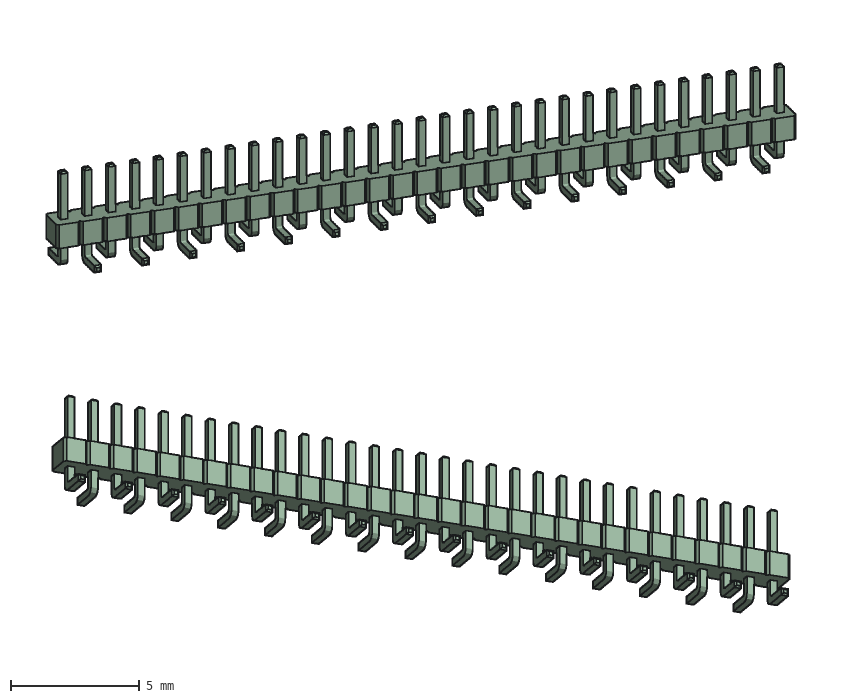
import cadquery as cq

pin_count = 31
pitch = 1.0
body_width = 1.27
body_height = 1.0
body_bottom = 1.0
body_chamfer = 0.1
pin_size = 0.3
pin_tip_chamfer = 0.075
foot_reach = 1.25
overall_height = 4.0
bend_inner_radius = 0.1

row_length = pin_count * pitch
half_pin = pin_size / 2
bend_outer_radius = pin_size
first_pin_y = -(pin_count - 1) * pitch / 2


def make_body():
    """Insulator strip: one octagonal outline per pin, joined end to end."""
    half_width = body_width / 2
    half_face = half_width - body_chamfer
    right_side = []
    for index in range(pin_count):
        start_y = -row_length / 2 + index * pitch
        end_y = start_y + pitch
        right_side += [
            (half_face, start_y),
            (half_width, start_y + body_chamfer),
            (half_width, end_y - body_chamfer),
        ]
    right_side.append((half_face, row_length / 2))
    left_side = [(-x, y) for x, y in reversed(right_side)]
    return (
        cq.Workplane("XY")
        .workplane(offset=body_bottom)
        .polyline(right_side + left_side)
        .close()
        .extrude(body_height)
    )


def make_pin():
    """Square pin bent at the bottom into a foot pointing to -X."""
    post = (
        cq.Workplane("XY")
        .box(pin_size, pin_size, overall_height, centered=(True, True, False))
        .faces(">Z")
        .chamfer(pin_tip_chamfer)
    )
    foot = (
        cq.Workplane("XY")
        .box(foot_reach + half_pin, pin_size, pin_size, centered=(False, True, False))
        .translate((-foot_reach, 0, 0))
        .faces("<X")
        .chamfer(pin_tip_chamfer)
    )
    pin = post.union(foot)
    pin = pin.edges(cq.selectors.NearestToPointSelector((half_pin, 0, 0))).fillet(bend_outer_radius)
    inner_corner = cq.selectors.NearestToPointSelector((-half_pin, 0, pin_size))
    return pin.edges(inner_corner).fillet(bend_inner_radius)


def make_header():
    """Strip with its row of pins, whose feet point alternately to -X and +X."""
    pin_left = make_pin()
    pin_right = pin_left.rotate((0, 0, 0), (0, 0, 1), 180)
    header = make_body()
    for index in range(pin_count):
        pin = pin_left if index % 2 == 0 else pin_right
        header = header.union(pin.translate((0, first_pin_y + index * pitch, 0)))
    return header


result = make_header()